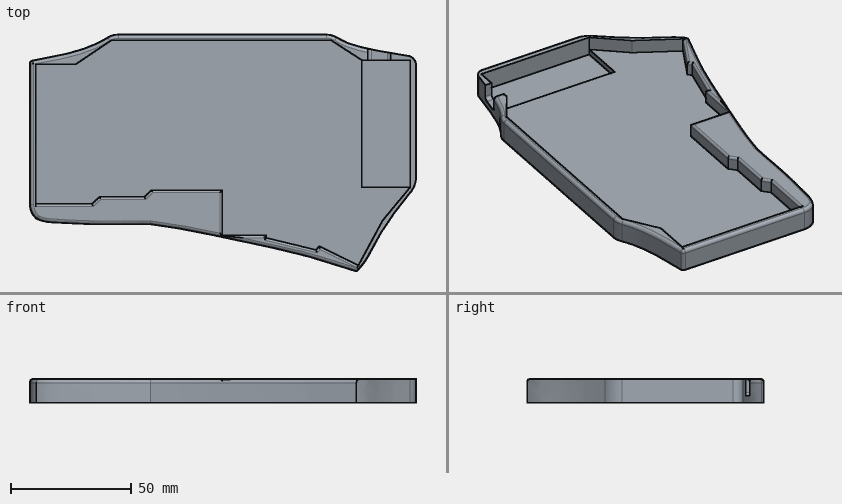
import cadquery as cq
import math

LENGTH = 160.65
WIDTH = 98.52
HEIGHT = 10.0

WALL = 2.5
FLOOR_Z = 4.0
RIM_FILLET = 1.5
LEDGE_FILLET = 1.0

LEFT_SIDE_FRONT = (0, 28.0)
LEFT_SIDE_BACK = (0, 86.3)
BACK_LEFT_CORNER = (1.2, 87.7)
BACK_LEFT_BEND = (32.3, 97.2)
BACK_EDGE_LEFT = (36.8, WIDTH)
BACK_EDGE_RIGHT = (123.2, WIDTH)
BACK_RIGHT_BEND = (127.4, 97.4)
BACK_RIGHT_CORNER = (157.0, 89.7)
RIGHT_SIDE_BACK = (LENGTH, 85.6)
RIGHT_SIDE_FRONT = (LENGTH, 39.4)
FRONT_RIGHT_CORNER = (157.9, 32.4)
TIP = (135.8, 0)
FRONT_BEND = (50.1, 19.6)
FRONT_LEFT_CORNER = (2.7, 22.0)

BACK_LEFT_CURVE = [(8.2, 89.0), (17.2, 91.0), (25.9, 93.9)]
BACK_RIGHT_CURVE = [(132.1, 95.0), (138.4, 93.1), (148.3, 91.15)]
FRONT_RIGHT_CURVE = [(150.0, 22.1), (144.2, 12.9), (139.5, 4.4)]
FRONT_CURVE = [(125.0, 3.4), (115.0, 6.4), (100.0, 10.0), (80.0, 14.25), (63.0, 17.65)]
FRONT_LEFT_CURVE = [(25.0, 19.6), (12.0, 20.2), (5.0, 21.05)]

INNER_LEFT_X = WALL
INNER_RIGHT_X = LENGTH - WALL
INNER_BACK_Y = WIDTH - WALL
SHOULDER = (19.2, 86.2)
BACK_WALL_LEFT_X = 33.8
BACK_WALL_RIGHT_X = 125.4
INNER_BEND = (146.7, 21.2)
INNER_TIP = (136.6, 2.5)

LEDGE_EDGE = [
    (INNER_LEFT_X, 28.1),
    (25.9, 28.1),
    (29.0, 31.0),
    (47.7, 31.0),
    (50.6, 33.85),
    (80.0, 33.85),
    (80.0, 15.0),
    (98.4, 15.0),
    (98.4, 13.9),
    (119.0, 8.95),
    (120.3, 10.5),
    INNER_TIP,
]

POCKET_FLOOR_Z = 1.5
POCKET_LEFT_X = 138.1
POCKET_FRONT_Y = 35.0
POCKET_BACK_Y = 87.8

NOTCH_LEFT_X = 140.4
NOTCH_WIDTH = 9.7
NOTCH_FLOOR_Z = 3.0
NOTCH_FILLET = 1.5

OUTSIDE = 20.0
TOLERANCE = 0.01

LEFT, RIGHT, FRONT = (-1, 0), (1, 0), (0, -1)


def arc_middle(tangent_point, inward, other_end):
    """Middle of the arc that leaves tangent_point at right angles to inward and stops at other_end."""
    dx = other_end[0] - tangent_point[0]
    dy = other_end[1] - tangent_point[1]
    radius = (dx**2 + dy**2) / (2 * (dx * inward[0] + dy * inward[1]))
    center_x = tangent_point[0] + radius * inward[0]
    center_y = tangent_point[1] + radius * inward[1]
    chord_middle_x = tangent_point[0] + dx / 2
    chord_middle_y = tangent_point[1] + dy / 2
    reach = math.hypot(chord_middle_x - center_x, chord_middle_y - center_y)
    return (
        center_x + (chord_middle_x - center_x) * radius / reach,
        center_y + (chord_middle_y - center_y) * radius / reach,
    )


def make_plate():
    """Full-height plate with the outline of the tray, drawn clockwise from the left side."""
    return (
        cq.Workplane("XY")
        .moveTo(*LEFT_SIDE_FRONT)
        .lineTo(*LEFT_SIDE_BACK)
        .threePointArc(arc_middle(LEFT_SIDE_BACK, RIGHT, BACK_LEFT_CORNER), BACK_LEFT_CORNER)
        .spline(BACK_LEFT_CURVE + [BACK_LEFT_BEND], includeCurrent=True)
        .threePointArc(arc_middle(BACK_EDGE_LEFT, FRONT, BACK_LEFT_BEND), BACK_EDGE_LEFT)
        .lineTo(*BACK_EDGE_RIGHT)
        .threePointArc(arc_middle(BACK_EDGE_RIGHT, FRONT, BACK_RIGHT_BEND), BACK_RIGHT_BEND)
        .spline(BACK_RIGHT_CURVE + [BACK_RIGHT_CORNER], includeCurrent=True)
        .threePointArc(arc_middle(RIGHT_SIDE_BACK, LEFT, BACK_RIGHT_CORNER), RIGHT_SIDE_BACK)
        .lineTo(*RIGHT_SIDE_FRONT)
        .threePointArc(arc_middle(RIGHT_SIDE_FRONT, LEFT, FRONT_RIGHT_CORNER), FRONT_RIGHT_CORNER)
        .spline(FRONT_RIGHT_CURVE + [TIP], includeCurrent=True)
        .spline(FRONT_CURVE + [FRONT_BEND], includeCurrent=True)
        .spline(FRONT_LEFT_CURVE + [FRONT_LEFT_CORNER], includeCurrent=True)
        .threePointArc(arc_middle(LEFT_SIDE_FRONT, RIGHT, FRONT_LEFT_CORNER), LEFT_SIDE_FRONT)
        .close()
        .extrude(HEIGHT)
    )


def make_notch():
    """Cutter for the notch, with rounded lower corners."""
    return (
        cq.Workplane("XY")
        .box(NOTCH_WIDTH, OUTSIDE, HEIGHT, centered=False)
        .edges("|Y and <Z")
        .fillet(NOTCH_FILLET)
        .translate((NOTCH_LEFT_X, POCKET_BACK_Y, NOTCH_FLOOR_Z))
    )


def is_rounded(edge):
    """True for the top outer edges that run from the tip round the left side to the notch."""
    middle = edge.positionAt(0.5)
    beyond_notch = middle.x > NOTCH_LEFT_X - TOLERANCE
    on_front_right = middle.x > TIP[0] and middle.y < WIDTH / 2
    return not (beyond_notch or on_front_right)


def make_blank():
    """Plate with the notch cut and the rim rounded."""
    blank = make_plate().cut(make_notch())
    rim = [edge for edge in blank.faces(">Z").edges().vals() if is_rounded(edge)]
    return blank.newObject(rim).fillet(RIM_FILLET)


def make_ledge():
    """Oversized front ledge; its stepped top edge is rounded and its other sides lie outside the cavity."""
    outer_left_x = -OUTSIDE
    outer_right_x = LENGTH + OUTSIDE
    points = [
        (outer_left_x, LEDGE_EDGE[0][1]),
        *LEDGE_EDGE[1:],
        (outer_right_x, -OUTSIDE),
        (outer_left_x, -OUTSIDE),
    ]
    ledge = cq.Workplane("XY").polyline(points).close().extrude(HEIGHT)
    stepped_edge = [
        edge
        for edge in ledge.faces(">Z").edges().vals()
        if outer_left_x + TOLERANCE < edge.Center().x < INNER_TIP[0]
        and edge.Center().y > 0
    ]
    return ledge.newObject(stepped_edge).fillet(LEDGE_FILLET)


def make_cavity():
    """Cutter for the shallow cavity: the room inside the walls, less the front ledge."""
    front_y = INNER_TIP[1] - LEDGE_FILLET
    diagonal_slope = (INNER_BEND[0] - INNER_TIP[0]) / (INNER_BEND[1] - INNER_TIP[1])
    points = [
        (INNER_LEFT_X, front_y),
        (INNER_LEFT_X, SHOULDER[1]),
        SHOULDER,
        (BACK_WALL_LEFT_X, INNER_BACK_Y),
        (BACK_WALL_RIGHT_X, INNER_BACK_Y),
        (POCKET_LEFT_X, POCKET_BACK_Y),
        (INNER_RIGHT_X, POCKET_BACK_Y),
        (INNER_RIGHT_X, POCKET_FRONT_Y),
        INNER_BEND,
        (INNER_TIP[0] - LEDGE_FILLET * diagonal_slope, front_y),
    ]
    room = cq.Workplane("XY").workplane(offset=FLOOR_Z).polyline(points).close().extrude(HEIGHT)
    return room.cut(make_ledge())


def make_pocket():
    """Cutter for the deep pocket."""
    pocket_length = INNER_RIGHT_X - POCKET_LEFT_X
    pocket_width = POCKET_BACK_Y - POCKET_FRONT_Y
    return (
        cq.Workplane("XY")
        .box(pocket_length, pocket_width, HEIGHT, centered=False)
        .translate((POCKET_LEFT_X, POCKET_FRONT_Y, POCKET_FLOOR_Z))
    )


result = make_blank().cut(make_cavity()).cut(make_pocket())